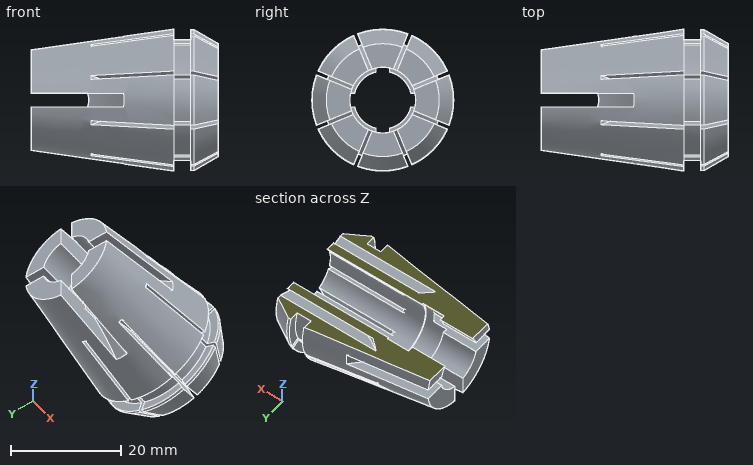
import cadquery as cq
import math


length = 34.0
small_end_diameter = 18.43
cone_large_diameter = 25.8
cone_length = 25.9
neck_diameter = 21.95
rim_diameter = 25.6
rim_start = 28.97
nose_start = 29.58
nose_angle = 30.0

rear_bore_diameter = 10.47
relief_diameter = 12.38
clamp_bore_diameter = 11.9
relief_start = 7.48
relief_end = 12.25

cutter_radius = 25.0
cutter_axis_height = 27.7
rear_slot_count = 4
rear_slot_width = 2.4
rear_slot_end = 16.85
nose_slot_count = 8
nose_slot_width = 0.75
nose_slot_start = 10.88


def cone_radius(x):
    """Outer radius of the long cone at position x."""
    growth = (cone_large_diameter - small_end_diameter) / 2
    return small_end_diameter / 2 + growth * x / cone_length


def cutter_reach(height):
    """Half-chord of the cutter, along X, at a height above the collet axis."""
    return math.sqrt(cutter_radius**2 - (cutter_axis_height - height) ** 2)


def collet_body():
    """Revolve the outer profile about the X axis."""
    nose_drop = (length - nose_start) * math.tan(math.radians(nose_angle))
    nose_end_radius = rim_diameter / 2 - nose_drop
    profile = (
        cq.Workplane("XZ")
        .moveTo(0, 0)
        .lineTo(0, small_end_diameter / 2)
        .lineTo(cone_length, cone_large_diameter / 2)
        .lineTo(cone_length, neck_diameter / 2)
        .lineTo(rim_start, neck_diameter / 2)
        .lineTo(rim_start, rim_diameter / 2)
        .lineTo(nose_start, rim_diameter / 2)
        .lineTo(length, nose_end_radius)
        .lineTo(length, 0)
        .close()
    )
    return profile.revolve(360, (0, 0, 0), (1, 0, 0))


def bore_section(start, end, diameter):
    """Cylinder on the X axis between two positions."""
    return cq.Workplane("YZ", origin=(start, 0, 0)).circle(diameter / 2).extrude(end - start)


def slot_cutter(open_end, surface_x, width):
    """Slot above the axis, from an open end of the collet to an arc meeting the cone at surface_x."""
    toward_open = math.copysign(1, open_end - surface_x)
    top = cone_large_diameter / 2 + width
    axis_x = surface_x + toward_open * cutter_reach(cone_radius(surface_x))
    middle = top / 2
    bottom = cutter_axis_height - cutter_radius

    def arc_point(height):
        return (axis_x - toward_open * cutter_reach(height), height)

    return (
        cq.Workplane("XZ")
        .moveTo(open_end, bottom)
        .lineTo(open_end, top)
        .lineTo(*arc_point(top))
        .threePointArc(arc_point(middle), arc_point(bottom))
        .close()
        .extrude(width / 2, both=True)
    )


def cut_around(body, cutter, count, first_angle):
    """Cut evenly spaced copies of a cutter, turned about the X axis."""
    for i in range(count):
        angle = first_angle + i * 360 / count
        body = body.cut(cutter.rotate((0, 0, 0), (1, 0, 0), angle))
    return body


result = collet_body()
result = result.cut(bore_section(0, relief_start, rear_bore_diameter))
result = result.cut(bore_section(relief_start, relief_end, relief_diameter))
result = result.cut(bore_section(relief_end, length, clamp_bore_diameter))

rear_slot = slot_cutter(0, rear_slot_end, rear_slot_width)
result = cut_around(result, rear_slot, rear_slot_count, 0)

nose_slot = slot_cutter(length, nose_slot_start, nose_slot_width)
result = cut_around(result, nose_slot, nose_slot_count, 180 / nose_slot_count)